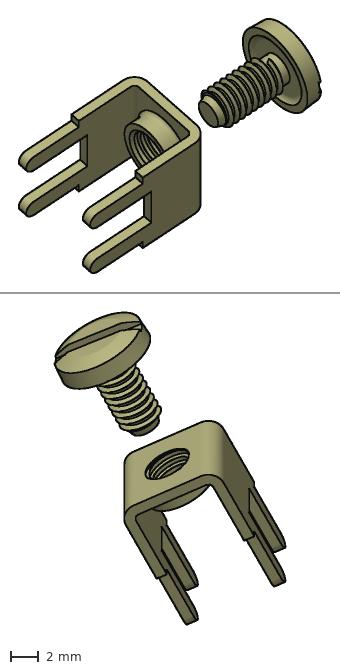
import cadquery as cq
import math


BRACKET_SIZE = 7.88
BRACKET_LENGTH = 11.2
SHEET = 0.82
INNER_BEND = 0.41
OUTER_BEND = INNER_BEND + SHEET
SHOULDER_Y = -6.18
SLOT_FLOOR_Y = -5.35
PIN_WIDTH = 1.5
PIN_OFFSET = 2.5

COLLAR_RADIUS = 2.56
COLLAR_END_Y = -2.31
FLARE_WIDTH = 0.25
FLARE_LENGTH = 0.41
BORE_RADIUS = 1.76
BORE_CHAMFER = 0.25
BORE_THREAD_HEIGHT = 0.23
BORE_THREAD_TURNS = 4
BORE_THREAD_END_Y = -1.8
BORE_THREAD_INSET = 0.07

SCREW_LENGTH = 8.25
SCREW_GAP = 3.45
HEAD_HEIGHT = 1.88
HEAD_RADIUS = 3.57
RIM_RADIUS = 3.48
DOME_FLAT_RADIUS = 2.2
DOME_SPHERE_RADIUS = 8.25
RECESS_RADIUS = 2.9
RECESS_FLOOR_RADIUS = 2.38
RECESS_DEPTH = 0.3
SHANK_RADIUS = 1.28
TIP_RADIUS = 1.08
TIP_LENGTH = 0.57
DRIVE_WIDTH = 1.05
DRIVE_DEPTH = 0.66
SCREW_TURN = 3.0
SCREW_THREAD_HEIGHT = 0.35
THREAD_START_DEPTH = 0.5

THREAD_TURNS = 9
THREAD_LENGTH = 5.27
PITCH = THREAD_LENGTH / THREAD_TURNS
THREAD_HALF_ANGLE = 30.0
ROOT_OVERLAP = 0.05

TIP_Y = SCREW_GAP
HEAD_TOP_Y = TIP_Y + SCREW_LENGTH
HEAD_UNDER_Y = HEAD_TOP_Y - HEAD_HEIGHT
DOME_CENTRE_Y = HEAD_TOP_Y - math.sqrt(DOME_SPHERE_RADIUS**2 - DOME_FLAT_RADIUS**2)
RIM_Y = DOME_CENTRE_Y + math.sqrt(DOME_SPHERE_RADIUS**2 - RIM_RADIUS**2)
RECESS_Y = HEAD_UNDER_Y + RECESS_DEPTH
CONE_Y = TIP_Y + TIP_LENGTH


def along_y(radius, start_y, end_y):
    """Cylinder on the Y axis between two positions."""
    return cq.Workplane("XZ", origin=(0, start_y, 0)).circle(radius).extrude(start_y - end_y)


def thread_ridge(root_radius, crest_radius, start_y, end_y):
    """Sharp left-hand ridge on the Y axis, winding from +Z at start_y toward -Y."""
    outward = math.copysign(1, crest_radius - root_radius)
    buried_radius = root_radius - outward * ROOT_OVERLAP
    half_base = abs(crest_radius - buried_radius) * math.tan(math.radians(THREAD_HALF_ANGLE))
    path = cq.Wire.makeHelix(PITCH, start_y - end_y, root_radius, lefthand=True)
    ridge = (
        cq.Workplane("XZ")
        .moveTo(buried_radius, -half_base)
        .lineTo(crest_radius, 0)
        .lineTo(buried_radius, half_base)
        .close()
        .sweep(cq.Workplane(path), isFrenet=True)
    )
    return (
        ridge.rotate((0, 0, 0), (0, 0, 1), 90)
        .rotate((0, 0, 0), (1, 0, 0), 90)
        .translate((0, start_y, 0))
    )


def bent_sheet():
    """U-shaped sheet with rounded bends, full height."""
    outer = (
        cq.Workplane("XY")
        .box(BRACKET_SIZE, BRACKET_LENGTH, BRACKET_SIZE)
        .translate((0, -BRACKET_LENGTH / 2, 0))
        .edges("|Z and >Y")
        .fillet(OUTER_BEND)
    )
    inner = (
        cq.Workplane("XY")
        .box(BRACKET_SIZE - 2 * SHEET, BRACKET_LENGTH, BRACKET_SIZE)
        .translate((0, -SHEET - BRACKET_LENGTH / 2, 0))
        .edges("|Z and >Y")
        .fillet(INNER_BEND)
    )
    return outer.cut(inner)


def side_outline():
    """Side silhouette of the bracket: a plate with two round-ended pins, across all of X."""
    half_pin = PIN_WIDTH / 2
    half_size = BRACKET_SIZE / 2
    pin_straight_y = half_pin - BRACKET_LENGTH
    profile = (
        cq.Workplane("YZ", origin=(-half_size, 0, 0))
        .moveTo(0, half_size)
        .lineTo(SHOULDER_Y, half_size)
        .lineTo(SHOULDER_Y, PIN_OFFSET + half_pin)
        .lineTo(pin_straight_y, PIN_OFFSET + half_pin)
        .threePointArc((-BRACKET_LENGTH, PIN_OFFSET), (pin_straight_y, PIN_OFFSET - half_pin))
        .lineTo(SLOT_FLOOR_Y, PIN_OFFSET - half_pin)
        .lineTo(SLOT_FLOOR_Y, half_pin - PIN_OFFSET)
        .lineTo(pin_straight_y, half_pin - PIN_OFFSET)
        .threePointArc((-BRACKET_LENGTH, -PIN_OFFSET), (pin_straight_y, -PIN_OFFSET - half_pin))
        .lineTo(SHOULDER_Y, -PIN_OFFSET - half_pin)
        .lineTo(SHOULDER_Y, -half_size)
        .lineTo(0, -half_size)
        .close()
    )
    return profile.extrude(BRACKET_SIZE)


def collar():
    """Round collar on the inside of the web, flared at its root by an arc tangent to its side."""
    flare_start_y = -SHEET - FLARE_LENGTH
    flare_arc_radius = (FLARE_LENGTH**2 + FLARE_WIDTH**2) / (2 * FLARE_WIDTH)
    flare_mid_y = -SHEET - FLARE_LENGTH / 2
    flare_mid_radius = (
        COLLAR_RADIUS + flare_arc_radius - math.sqrt(flare_arc_radius**2 - (FLARE_LENGTH / 2) ** 2)
    )
    return (
        cq.Workplane("XY")
        .moveTo(0, -SHEET / 2)
        .lineTo(COLLAR_RADIUS + FLARE_WIDTH, -SHEET / 2)
        .lineTo(COLLAR_RADIUS + FLARE_WIDTH, -SHEET)
        .threePointArc((flare_mid_radius, flare_mid_y), (COLLAR_RADIUS, flare_start_y))
        .lineTo(COLLAR_RADIUS, COLLAR_END_Y)
        .lineTo(0, COLLAR_END_Y)
        .close()
        .revolve(360, (0, 0, 0), (0, 1, 0))
    )


def bore():
    """Through bore, chamfered at the collar's free end."""
    entry_radius = BORE_RADIUS + BORE_CHAMFER
    return (
        cq.Workplane("XY")
        .lineTo(BORE_RADIUS, 0)
        .lineTo(BORE_RADIUS, COLLAR_END_Y + BORE_CHAMFER)
        .lineTo(entry_radius, COLLAR_END_Y)
        .lineTo(0, COLLAR_END_Y)
        .close()
        .revolve(360, (0, 0, 0), (0, 1, 0))
    )


def bore_thread():
    """Thread ridge that stands inward from the bore, cut off flat near the web's outer face."""
    end_y = BORE_THREAD_END_Y
    ridge = thread_ridge(
        BORE_RADIUS, BORE_RADIUS - BORE_THREAD_HEIGHT, end_y + BORE_THREAD_TURNS * PITCH, end_y
    )
    return ridge.intersect(along_y(COLLAR_RADIUS, -BORE_THREAD_INSET, COLLAR_END_Y))


def make_bracket():
    body = bent_sheet().intersect(side_outline())
    return body.union(collar()).cut(bore()).union(bore_thread())


def screw_blank():
    """Head with dome and hollow underside, plain shank and tapered tip, turned about Y."""
    dome_mid_radius = (DOME_FLAT_RADIUS + RIM_RADIUS) / 2
    dome_mid_y = DOME_CENTRE_Y + math.sqrt(DOME_SPHERE_RADIUS**2 - dome_mid_radius**2)
    recess_wall = RECESS_RADIUS - RECESS_FLOOR_RADIUS
    recess_arc_radius = (recess_wall**2 + RECESS_DEPTH**2) / (2 * RECESS_DEPTH)
    recess_mid_radius = RECESS_FLOOR_RADIUS + recess_wall / 2
    recess_mid_y = RECESS_Y - recess_arc_radius + math.sqrt(recess_arc_radius**2 - (recess_wall / 2) ** 2)
    return (
        cq.Workplane("XY")
        .moveTo(0, HEAD_TOP_Y)
        .lineTo(DOME_FLAT_RADIUS, HEAD_TOP_Y)
        .threePointArc((dome_mid_radius, dome_mid_y), (RIM_RADIUS, RIM_Y))
        .lineTo(HEAD_RADIUS, HEAD_UNDER_Y)
        .lineTo(RECESS_RADIUS, HEAD_UNDER_Y)
        .threePointArc((recess_mid_radius, recess_mid_y), (RECESS_FLOOR_RADIUS, RECESS_Y))
        .lineTo(SHANK_RADIUS, RECESS_Y)
        .lineTo(SHANK_RADIUS, CONE_Y)
        .lineTo(TIP_RADIUS, TIP_Y)
        .lineTo(0, TIP_Y)
        .close()
        .revolve(360, (0, 0, 0), (0, 1, 0))
    )


def drive_slot():
    """Screwdriver slot across the whole head."""
    return (
        cq.Workplane("XY")
        .box(2 * HEAD_RADIUS, DRIVE_DEPTH, DRIVE_WIDTH)
        .translate((0, HEAD_TOP_Y - DRIVE_DEPTH / 2, 0))
    )


def screw_thread():
    """Thread ridge on the shank, cut off flat where the tip begins to taper."""
    start_y = HEAD_UNDER_Y - THREAD_START_DEPTH
    ridge = thread_ridge(
        SHANK_RADIUS, SHANK_RADIUS + SCREW_THREAD_HEIGHT, start_y, CONE_Y - PITCH
    )
    return ridge.intersect(along_y(HEAD_RADIUS, HEAD_UNDER_Y, CONE_Y))


def make_screw():
    screw = screw_blank().cut(drive_slot()).union(screw_thread())
    return screw.rotate((0, 0, 0), (0, 1, 0), -SCREW_TURN)


bracket = make_bracket()
screw = make_screw()
result = cq.Compound.makeCompound([bracket.val(), screw.val()])